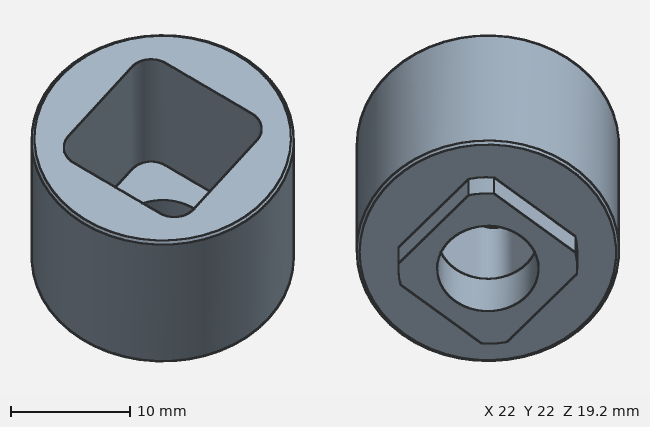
import cadquery as cq

body_diameter = 22.0
body_height = 16.75
edge_chamfer = 0.25

socket_width = 13.0
socket_corner_radius = 2.0
socket_floor_thickness = 2.5
socket_depth = body_height - socket_floor_thickness

tenon_width = 12.0
tenon_corner_diameter = 15.0
tenon_height = 2.5

bore_diameter = 8.5


def level(z):
    """Horizontal workplane at height z."""
    return cq.Workplane("XY").workplane(offset=z)


def make_body():
    """Cylinder with both rims chamfered."""
    cylinder = level(0).circle(body_diameter / 2).extrude(body_height)
    return cylinder.faces("<Z or >Z").edges().chamfer(edge_chamfer)


def make_tenon():
    """Square block trimmed by a cylinder about the Z axis."""
    block = level(-tenon_height).rect(tenon_width, tenon_width).extrude(tenon_height)
    trim = level(-tenon_height).circle(tenon_corner_diameter / 2).extrude(tenon_height)
    return block.intersect(trim)


def make_socket():
    """Square prism with rounded vertical edges, open at the top of the body."""
    prism = level(socket_floor_thickness).rect(socket_width, socket_width).extrude(socket_depth)
    return prism.edges("|Z").fillet(socket_corner_radius)


def make_bore():
    """Cylinder that clears the whole part along Z."""
    return level(-tenon_height).circle(bore_diameter / 2).extrude(tenon_height + body_height)


result = make_body().union(make_tenon()).cut(make_socket()).cut(make_bore())